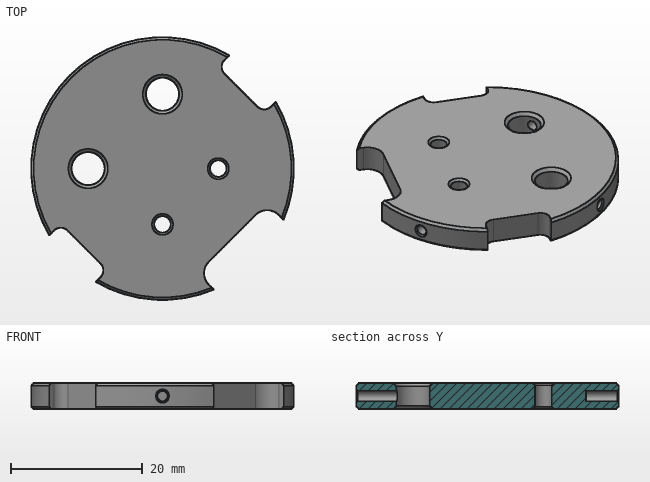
import cadquery as cq
import math

disc_radius = 20.0
thickness = 4.0
rim_chamfer = 0.4

small_notch_floor = 16.9
small_notch_width = 10.0
small_notch_corner = 1.5
small_notch_angles = (45, 225)
large_notch_floor = 15.0
large_notch_width = 15.0
large_notch_corner = large_notch_width / 6
large_notch_angle = -45

large_hole_diameter = 5.0
large_hole_chamfer = large_hole_diameter / 10
large_hole_spacing = 16.0
large_hole_angles = (90, 180)
small_hole_diameter = large_hole_diameter / 2
small_hole_chamfer = 0.35
small_hole_spacing = 12.0
small_hole_angles = (-90, 0)

screw_hole_diameter = 1.55
screw_hole_chamfer = 0.25
blind_screw_hole_depth = 5.0


def make_disc():
    disc = cq.Workplane("XY").circle(disc_radius).extrude(thickness / 2, both=True)
    return disc.edges().chamfer(rim_chamfer)


def notch_cutter(floor, width, corner, angle):
    """Block with rounded inner corners, reaching outward past the rim."""
    return (
        cq.Workplane("XY")
        .box(disc_radius, width, thickness, centered=(False, True, True))
        .edges("|Z and <X")
        .fillet(corner)
        .translate((floor, 0, 0))
        .rotate((0, 0, 0), (0, 0, 1), angle)
    )


def vertical_hole_cutter(diameter, chamfer, distance, angle):
    """Through hole widened by a 45 degree chamfer at both faces."""
    radius = diameter / 2
    half = thickness / 2
    mouth = radius + chamfer
    profile = [
        (0, -half),
        (mouth, -half),
        (radius, chamfer - half),
        (radius, half - chamfer),
        (mouth, half),
        (0, half),
    ]
    return (
        cq.Workplane("XZ")
        .polyline(profile)
        .close()
        .revolve(360, (0, 0), (0, 1))
        .translate((distance, 0, 0))
        .rotate((0, 0, 0), (0, 0, 1), angle)
    )


def screw_hole_cutter(depth, angle):
    """Flat-ended radial hole of the given depth, chamfered at the rim."""
    inner_end = disc_radius - depth
    radius = screw_hole_diameter / 2
    profile = [
        (inner_end, 0),
        (inner_end, radius),
        (disc_radius - screw_hole_chamfer, radius),
        (disc_radius, radius + screw_hole_chamfer),
        (disc_radius, 0),
    ]
    return (
        cq.Workplane("XY")
        .polyline(profile)
        .close()
        .revolve(360, (0, 0), (1, 0))
        .rotate((0, 0, 0), (0, 0, 1), angle)
    )


result = make_disc()

for notch_angle in small_notch_angles:
    result = result.cut(
        notch_cutter(small_notch_floor, small_notch_width, small_notch_corner, notch_angle)
    )
result = result.cut(
    notch_cutter(large_notch_floor, large_notch_width, large_notch_corner, large_notch_angle)
)

large_hole_distance = large_hole_spacing / math.sqrt(2)
for hole_angle in large_hole_angles:
    result = result.cut(
        vertical_hole_cutter(large_hole_diameter, large_hole_chamfer, large_hole_distance, hole_angle)
    )
    result = result.cut(screw_hole_cutter(disc_radius - large_hole_distance, hole_angle))

small_hole_distance = small_hole_spacing / math.sqrt(2)
for hole_angle in small_hole_angles:
    result = result.cut(
        vertical_hole_cutter(small_hole_diameter, small_hole_chamfer, small_hole_distance, hole_angle)
    )
    result = result.cut(screw_hole_cutter(blind_screw_hole_depth, hole_angle))